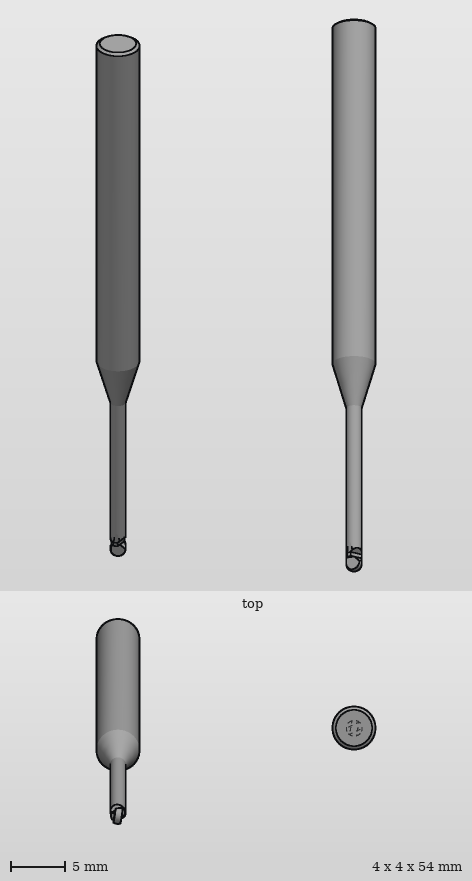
import cadquery as cq
import math

TOTAL_LENGTH = 54.0
SHANK_RADIUS = 2.0
SHANK_CHAMFER_RADIAL = 0.3
SHANK_CHAMFER_HEIGHT = 0.2
TAPER_TOP = 20.5
TAPER_BOTTOM = 16.15
NECK_RADIUS = 0.73

HEAD_TOP = 1.7
BALL_RADIUS = NECK_RADIUS
WAIST_HALF_WIDTH = 0.3
WAIST_ANGLE = -10.0
WAIST_BOTTOM = 1.3
FLARE_BOTTOM = 0.8
BLADE_HALF_THICKNESS = 0.3
BLADE_ANGLE = 25.0

BEVEL_TOP = 2.05

FLAT_TOP = 2.65
FLAT_DEPTH = 0.065
FLAT_ANGLE = 13.0

CUT_MARGIN = 0.55


def side_cutter():
    """Waist between neck and ball cut from the side nearest +X."""
    outer = NECK_RADIUS + CUT_MARGIN
    return (
        cq.Workplane("XZ")
        .moveTo(NECK_RADIUS, BEVEL_TOP)
        .lineTo(WAIST_HALF_WIDTH, HEAD_TOP)
        .lineTo(WAIST_HALF_WIDTH, WAIST_BOTTOM)
        .lineTo(NECK_RADIUS, FLARE_BOTTOM)
        .lineTo(outer, FLARE_BOTTOM)
        .lineTo(outer, BEVEL_TOP)
        .close()
        .extrude(outer, both=True)
        .rotate((0, 0, 0), (0, 0, 1), WAIST_ANGLE)
    )


def flat_cutter():
    """Inclined flat on the front, stopping at the top of the blade."""
    slope = FLAT_DEPTH / (FLAT_TOP - HEAD_TOP)
    lower_depth = slope * (FLAT_TOP - WAIST_BOTTOM)
    outer = NECK_RADIUS + CUT_MARGIN
    return (
        cq.Workplane("YZ")
        .moveTo(-NECK_RADIUS, FLAT_TOP)
        .lineTo(-NECK_RADIUS + lower_depth, WAIST_BOTTOM)
        .lineTo(-outer, WAIST_BOTTOM)
        .lineTo(-outer, FLAT_TOP)
        .close()
        .extrude(outer, both=True)
        .rotate((0, 0, 0), (0, 0, 1), FLAT_ANGLE)
    )


def blade_cutter():
    """Block that leaves one flat face of the cutting blade."""
    width = 2 * (BALL_RADIUS + CUT_MARGIN)
    return (
        cq.Workplane("XY")
        .box(width, BALL_RADIUS, WAIST_BOTTOM, centered=(True, False, False))
        .translate((0, BLADE_HALF_THICKNESS, 0))
        .rotate((0, 0, 0), (0, 0, 1), BLADE_ANGLE)
    )


def cut_both_sides(body, cutter):
    """Cut a body twice, half a turn apart about the tool axis."""
    for angle in (0, 180):
        body = body.cut(cutter.rotate((0, 0, 0), (0, 0, 1), angle))
    return body


def make_shank():
    """Chamfered shank, taper and slim neck above the cutting head."""
    body = (
        cq.Workplane("XZ")
        .moveTo(0, HEAD_TOP)
        .lineTo(NECK_RADIUS, HEAD_TOP)
        .lineTo(NECK_RADIUS, TAPER_BOTTOM)
        .lineTo(SHANK_RADIUS, TAPER_TOP)
        .lineTo(SHANK_RADIUS, TOTAL_LENGTH - SHANK_CHAMFER_HEIGHT)
        .lineTo(SHANK_RADIUS - SHANK_CHAMFER_RADIAL, TOTAL_LENGTH)
        .lineTo(0, TOTAL_LENGTH)
        .close()
        .revolve()
    )
    body = cut_both_sides(body, side_cutter())
    return cut_both_sides(body, flat_cutter())


def make_cutting_head():
    """Ball-nose head, narrowed to a waist above a thin cutting blade."""
    arc_offset = BALL_RADIUS * math.sqrt(0.5)
    body = (
        cq.Workplane("XZ")
        .moveTo(0, 0)
        .threePointArc((arc_offset, BALL_RADIUS - arc_offset), (BALL_RADIUS, BALL_RADIUS))
        .lineTo(BALL_RADIUS, HEAD_TOP)
        .lineTo(0, HEAD_TOP)
        .close()
        .revolve()
    )
    body = cut_both_sides(body, side_cutter())
    body = cut_both_sides(body, flat_cutter())
    return cut_both_sides(body, blade_cutter())


shank = make_shank()
cutting_head = make_cutting_head()

result = cq.Compound.makeCompound([shank.val(), cutting_head.val()])